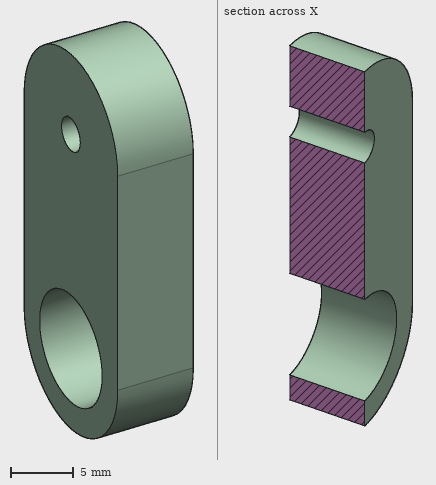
import cadquery as cq

link_width = 15.0
link_thickness = 7.0
hole_spacing = 20.0
large_bore_diameter = 10.0
small_hole_diameter = 3.0

link_length = hole_spacing + link_width


def link_body():
    """Round-ended link standing along Z, extruded through its thickness along Y."""
    return (
        cq.Workplane("XZ")
        .center(0, hole_spacing / 2)
        .slot2D(link_length, link_width, angle=90)
        .extrude(link_thickness / 2, both=True)
    )


def cross_hole(height, diameter):
    """Cylinder along Y, as long as the link is thick, centred at the given height."""
    return (
        cq.Workplane("XZ")
        .center(0, height)
        .circle(diameter / 2)
        .extrude(link_thickness / 2, both=True)
    )


large_bore = cross_hole(0, large_bore_diameter)
small_hole = cross_hole(hole_spacing, small_hole_diameter)

result = link_body().cut(large_bore).cut(small_hole)